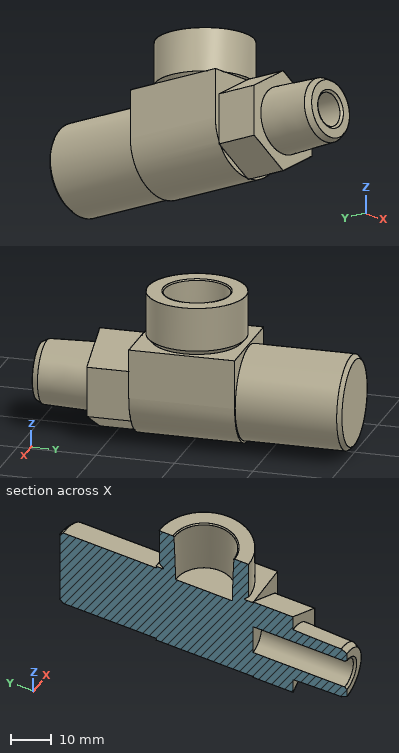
import cadquery as cq

total_length = 80.0
spigot_length = 15.0
hex_length = 11.1
body_length = 27.0

body_width = 25.1
body_radius = body_width / 2
body_start = spigot_length + hex_length
body_end = body_start + body_length

barrel_diameter = 24.0
barrel_chamfer = 1.0

hex_corner_diameter = 25.7
hex_corners = 6
spigot_base_diameter = 17.1
thread_taper = 1 / 16
spigot_tip_diameter = spigot_base_diameter - spigot_length * thread_taper
spigot_chamfer_length = 1.6
spigot_face_diameter = 14.6
spigot_bore_diameter = 8.6
spigot_bore_mouth_diameter = 9.8
spigot_bore_depth = body_start

port_diameter = 25.0
port_neck_diameter = 22.6
port_y = 39.8
port_rim_z = 25.0
port_skirt_z = 13.8
port_bore_mouth_diameter = 17.2
port_bore_diameter = 16.6
port_bore_floor_diameter = 15.7
port_bore_chamfer = (port_bore_mouth_diameter - port_bore_diameter) / 2
port_bore_depth = (port_bore_diameter - port_bore_floor_diameter) / thread_taper


def revolve_about_y(profile):
    """Revolve (radius, Y) points about the main axis."""
    return cq.Workplane("XY").polyline(profile).close().revolve(360, (0, 0), (0, 1))


def revolve_about_port(profile):
    """Revolve (radius, Z) points about the port axis."""
    solid = cq.Workplane("XZ").polyline(profile).close().revolve(360, (0, 0), (0, 1))
    return solid.translate((0, port_y, 0))


def make_body():
    section = (
        cq.Workplane("XZ", origin=(0, body_start, 0))
        .moveTo(-body_radius, 0)
        .lineTo(-body_radius, body_radius)
        .lineTo(body_radius, body_radius)
        .lineTo(body_radius, 0)
        .threePointArc((0, -body_radius), (-body_radius, 0))
        .close()
    )
    return section.extrude(-body_length)


def make_barrel():
    radius = barrel_diameter / 2
    return revolve_about_y([
        (0, body_end),
        (radius, body_end),
        (radius, total_length - barrel_chamfer),
        (radius - barrel_chamfer, total_length),
        (0, total_length),
    ])


def make_hexagon():
    """Hexagon with corners pointing up and down."""
    return (
        cq.Workplane("XZ", origin=(0, spigot_length, 0))
        .transformed(rotate=(0, 0, 90))
        .polygon(hex_corners, hex_corner_diameter)
        .extrude(-hex_length)
    )


def make_spigot():
    chamfer_diameter = spigot_tip_diameter + spigot_chamfer_length * thread_taper
    return revolve_about_y([
        (0, 0),
        (spigot_face_diameter / 2, 0),
        (chamfer_diameter / 2, spigot_chamfer_length),
        (spigot_base_diameter / 2, spigot_length),
        (0, spigot_length),
    ])


def make_spigot_bore():
    mouth_radius = spigot_bore_mouth_diameter / 2
    bore_radius = spigot_bore_diameter / 2
    return revolve_about_y([
        (0, 0),
        (mouth_radius, 0),
        (bore_radius, mouth_radius - bore_radius),
        (bore_radius, spigot_bore_depth),
        (0, spigot_bore_depth),
    ])


def make_port():
    return revolve_about_port([
        (0, 0),
        (port_neck_diameter / 2, 0),
        (port_neck_diameter / 2, body_radius),
        (port_diameter / 2, port_skirt_z),
        (port_diameter / 2, port_rim_z),
        (0, port_rim_z),
    ])


def make_port_bore():
    """Tapered blind bore with a chamfered mouth."""
    chamfer_z = port_rim_z - port_bore_chamfer
    floor_z = chamfer_z - port_bore_depth
    return revolve_about_port([
        (0, port_rim_z),
        (port_bore_mouth_diameter / 2, port_rim_z),
        (port_bore_diameter / 2, chamfer_z),
        (port_bore_floor_diameter / 2, floor_z),
        (0, floor_z),
    ])


result = (
    make_body()
    .union(make_barrel())
    .union(make_hexagon())
    .union(make_spigot())
    .union(make_port())
    .cut(make_spigot_bore())
    .cut(make_port_bore())
)